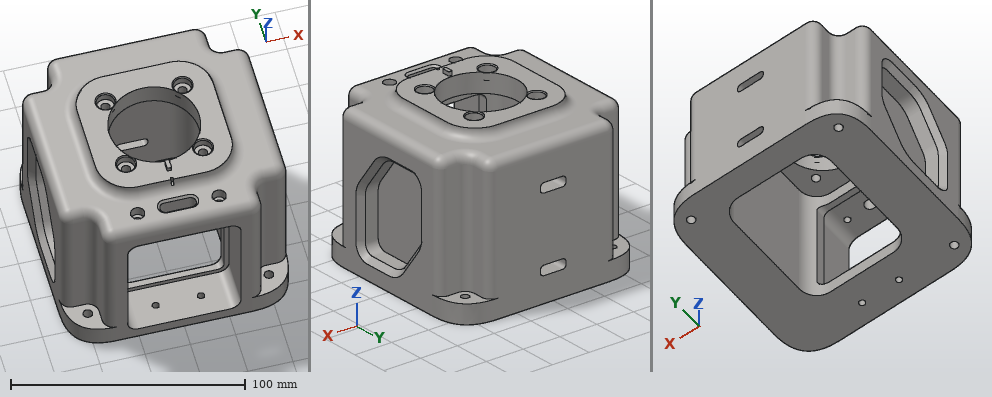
import cadquery as cq
import math

WIDTH = 100.0
HALF_WIDTH = WIDTH / 2
BODY_HEIGHT = 75.0
FOOT_HEIGHT = 10.0
FOOT_CORNER_LENGTH = 20.0
FOOT_CORNER_PULL = 13.9
NOTCH_SIZE = 15.0
EDGE_RADIUS = 5.0
CHAMFER_ANGLE = 45.0

BOSS_WIDTH = 60.0
BOSS_CORNER_RADIUS = 15.0
BOSS_HEIGHT = 5.0
BOSS_TOP = BODY_HEIGHT + BOSS_HEIGHT
BOSS_FLARE_RADIUS = 5.0

BORE_DIAMETER = 39.6
BOLT_OFFSET = 17.0
BOLT_DIAMETER = 4.0
BOLT_HEAD_DIAMETER = 8.0
BOLT_HEAD_DEPTH = 4.0
BOLT_HEAD_CHAMFER = 0.5

CAVITY_WIDTH = 53.0
CAVITY_FRONT = -27.0
CAVITY_BACK = 37.0
CAVITY_TOP = 70.0
CAVITY_RADIUS = 9.5

RECESS_WIDTH = 50.0
RECESS_HEIGHT = 60.0
RECESS_DEPTH = 20.0
RECESS_RADIUS = 5.0
OPENING_CENTER_Z = 35.3
WINDOW_MARGIN = 2.2
WINDOW_RADIUS = RECESS_RADIUS - WINDOW_MARGIN
RECESS_FLOOR = OPENING_CENTER_Z - RECESS_HEIGHT / 2

BACK_SLOT_WIDTH = 14.0
BACK_SLOT_HEIGHT = 5.0
BACK_SLOT_RADIUS = 2.0
BACK_SLOT_SPACING = 39.0

POCKET_CENTER_Z = 35.5
POCKET_WIDTH = 40.0
POCKET_HEIGHT = 50.0
POCKET_CUT_WIDTH = 15.0
POCKET_CUT_HEIGHT = 20.0
POCKET_DEPTH = 10.0
POCKET_SQUARE_RADIUS = 5.0
POCKET_BLUNT_RADIUS = 10.0
POCKET_BEVEL_WIDTH = 2.7
POCKET_BEVEL_DEPTH = 3.0

FOOT_HOLE_OFFSET = 40.0
FOOT_HOLE_DIAMETER = 4.0
BLIND_FOOT_HOLE_DEPTH = 6.0

ACCESS_Y = -40.0
ACCESS_SLOT_Y = -39.5
ACCESS_SLOT_LENGTH = 16.0
ACCESS_SLOT_WIDTH = 5.0
ACCESS_SLOT_CHAMFER = 1.0
SCREW_OFFSET = 18.0
SCREW_DIAMETER = 3.0
SCREW_HEAD_DIAMETER = 6.0
SCREW_HEAD_DEPTH = 5.0
FLOOR_HOLE_OFFSET = 10.0
FLOOR_HOLE_DIAMETER = 3.0

TAB_WIDTH = 2.0
TAB_LENGTH = 4.5
TAB_HEIGHT = 2.0
TAB_Y = -23.0
TAB_CORNER_RADIUS = 0.5
INDEX_NOTCH_WIDTH = 1.0
INDEX_NOTCH_HEIGHT = 3.0
INDEX_NOTCH_DEPTH = 1.0


def block(width, depth, height, x, y, z):
    """Box centred on x and y with its bottom at z."""
    return cq.Workplane("XY").box(width, depth, height, (True, True, False)).translate((x, y, z))


def cylinder(diameter, height, points, z):
    """Upright cylinders standing on height z."""
    return cq.Workplane("XY", origin=(0, 0, z)).pushPoints(points).circle(diameter / 2).extrude(height)


def square_points(offset):
    return [(x, y) for x in (-offset, offset) for y in (-offset, offset)]


def front_block(width, height, radius, y_start, y_end, z):
    """Box along Y, centred on x = 0 and height z, with rounded long edges."""
    length = y_end - y_start
    shape = block(width, length, height, 0, y_start + length / 2, z - height / 2)
    return shape.edges("|Y").fillet(radius)


def make_foot():
    """Square plate whose corners are smooth curves, fuller than a circular arc."""
    start = HALF_WIDTH - FOOT_CORNER_LENGTH
    pull = start + FOOT_CORNER_PULL
    outline = cq.Workplane("XY").moveTo(HALF_WIDTH, -start)
    for quarter in range(4):
        cos = round(math.cos(quarter * math.pi / 2))
        sin = round(math.sin(quarter * math.pi / 2))
        corner = [(HALF_WIDTH, start), (HALF_WIDTH, pull), (pull, HALF_WIDTH), (start, HALF_WIDTH)]
        turned = [(x * cos - y * sin, x * sin + y * cos) for x, y in corner]
        outline = outline.lineTo(*turned[0]).bezier(turned)
    return outline.close().extrude(FOOT_HEIGHT)


def make_body():
    """Block with notched corners, standing on a rounded square foot plate."""
    body = block(WIDTH, WIDTH, BODY_HEIGHT, 0, 0, 0)
    notch_center = HALF_WIDTH - NOTCH_SIZE / 2
    for x, y in square_points(notch_center):
        body = body.cut(block(NOTCH_SIZE, NOTCH_SIZE, BODY_HEIGHT, x, y, 0))
    body = body.edges("|Z").fillet(EDGE_RADIUS)
    body = body.faces(">Z").edges().fillet(EDGE_RADIUS)
    return body.union(make_foot())


def add_boss(body):
    """Rounded square boss whose sides flare out into the top face."""
    spare_height = 1.0
    boss = block(BOSS_WIDTH, BOSS_WIDTH, BOSS_HEIGHT + spare_height, 0, 0, BODY_HEIGHT)
    body = body.union(boss.edges("|Z").fillet(BOSS_CORNER_RADIUS))
    reach = BOSS_WIDTH / 2 + spare_height
    low = BODY_HEIGHT - spare_height / 2
    high = BODY_HEIGHT + spare_height / 2
    boss_base = cq.selectors.BoxSelector((-reach, -reach, low), (reach, reach, high))
    body = body.edges(boss_base).fillet(BOSS_FLARE_RADIUS)
    return body.cut(block(WIDTH, WIDTH, spare_height, 0, 0, BOSS_TOP))


def cut_bore(body):
    """Central bore and four counterbored bolt holes with chamfered mouths."""
    bolts = square_points(BOLT_OFFSET)
    mouth = cq.Workplane("XY", origin=(0, 0, BOSS_TOP)).pushPoints(bolts)
    mouth = mouth.circle(BOLT_HEAD_DIAMETER / 2 + BOLT_HEAD_CHAMFER)
    chamfers = mouth.extrude(-BOLT_HEAD_CHAMFER, taper=CHAMFER_ANGLE)
    wall = BOSS_TOP - CAVITY_TOP
    body = body.cut(cylinder(BORE_DIAMETER, wall, [(0, 0)], CAVITY_TOP))
    body = body.cut(cylinder(BOLT_DIAMETER, wall, bolts, CAVITY_TOP))
    body = body.cut(cylinder(BOLT_HEAD_DIAMETER, BOLT_HEAD_DEPTH, bolts, BOSS_TOP - BOLT_HEAD_DEPTH))
    return body.cut(chamfers)


def cut_cavity(body):
    length = CAVITY_BACK - CAVITY_FRONT
    cavity = block(CAVITY_WIDTH, length, CAVITY_TOP, 0, CAVITY_FRONT + length / 2, 0)
    return body.cut(cavity.edges("|Z").fillet(CAVITY_RADIUS))


def cut_front(body):
    """Front recess and the slightly smaller window from it into the cavity."""
    recess_end = RECESS_DEPTH - HALF_WIDTH
    recess = front_block(
        RECESS_WIDTH, RECESS_HEIGHT, RECESS_RADIUS, -HALF_WIDTH, recess_end, OPENING_CENTER_Z
    )
    window_width = RECESS_WIDTH - 2 * WINDOW_MARGIN
    window_height = RECESS_HEIGHT - 2 * WINDOW_MARGIN
    window = front_block(window_width, window_height, WINDOW_RADIUS, recess_end, 0, OPENING_CENTER_Z)
    return body.cut(recess).cut(window)


def cut_back_slots(body):
    for side in (-1, 1):
        z = OPENING_CENTER_Z + side * BACK_SLOT_SPACING / 2
        slot = front_block(BACK_SLOT_WIDTH, BACK_SLOT_HEIGHT, BACK_SLOT_RADIUS, 0, HALF_WIDTH, z)
        body = body.cut(slot)
    return body


def pocket_section():
    """Rectangle with two opposite corners cut off, rounded at all six corners."""
    y = POCKET_WIDTH / 2
    z = POCKET_HEIGHT / 2
    square_corners = [(y, z), (-y, -z)]
    top_cut = [(POCKET_CUT_WIDTH - y, z), (-y, z - POCKET_CUT_HEIGHT)]
    bottom_cut = [(y - POCKET_CUT_WIDTH, -z), (y, POCKET_CUT_HEIGHT - z)]
    outline = [square_corners[0], *top_cut, square_corners[1], *bottom_cut, square_corners[0]]
    section = cq.Sketch().polygon(outline)
    for corners, radius in (
        (square_corners, POCKET_SQUARE_RADIUS),
        (top_cut + bottom_cut, POCKET_BLUNT_RADIUS),
    ):
        for corner in corners:
            near = cq.selectors.NearestToPointSelector((*corner, 0))
            section = section.reset().vertices(near).fillet(radius)
    return section.reset()


def make_pocket():
    """Left pocket with straight walls and a bevelled mouth."""
    plane = cq.Workplane("YZ", origin=(-HALF_WIDTH, 0, POCKET_CENTER_Z))
    section = pocket_section()
    walls = plane.placeSketch(section).extrude(POCKET_DEPTH)
    bevel_angle = math.degrees(math.atan(POCKET_BEVEL_WIDTH / POCKET_BEVEL_DEPTH))
    mouth_plane = plane.workplane(offset=POCKET_BEVEL_DEPTH)
    mouth = mouth_plane.placeSketch(section).extrude(-POCKET_BEVEL_DEPTH, taper=-bevel_angle)
    return walls.union(mouth)


def cut_pockets(body):
    pocket = make_pocket()
    return body.cut(pocket).cut(pocket.mirror("YZ"))


def cut_foot_holes(body):
    """Through holes in three feet and a blind hole in the front right foot."""
    blind = (FOOT_HOLE_OFFSET, -FOOT_HOLE_OFFSET)
    through = [p for p in square_points(FOOT_HOLE_OFFSET) if p != blind]
    body = body.cut(cylinder(FOOT_HOLE_DIAMETER, FOOT_HEIGHT, through, 0))
    blind_bottom = FOOT_HEIGHT - BLIND_FOOT_HOLE_DEPTH
    return body.cut(cylinder(FOOT_HOLE_DIAMETER, BLIND_FOOT_HOLE_DEPTH, [blind], blind_bottom))


def cut_access(body):
    """Bevelled slot and counterbored screw holes above the recess, plain holes in its floor."""
    roof = BODY_HEIGHT - OPENING_CENTER_Z
    slot = cq.Workplane("XY", origin=(0, ACCESS_SLOT_Y, OPENING_CENTER_Z))
    slot = slot.slot2D(ACCESS_SLOT_LENGTH, ACCESS_SLOT_WIDTH).extrude(roof)
    body = body.cut(slot)
    bevel = cq.Workplane("XY", origin=(0, ACCESS_SLOT_Y, BODY_HEIGHT))
    bevel = bevel.slot2D(
        ACCESS_SLOT_LENGTH + 2 * ACCESS_SLOT_CHAMFER, ACCESS_SLOT_WIDTH + 2 * ACCESS_SLOT_CHAMFER
    ).extrude(-ACCESS_SLOT_CHAMFER, taper=CHAMFER_ANGLE)
    body = body.cut(bevel)
    screws = [(-SCREW_OFFSET, ACCESS_Y), (SCREW_OFFSET, ACCESS_Y)]
    body = body.cut(cylinder(SCREW_DIAMETER, roof, screws, OPENING_CENTER_Z))
    head_bottom = BODY_HEIGHT - SCREW_HEAD_DEPTH
    body = body.cut(cylinder(SCREW_HEAD_DIAMETER, SCREW_HEAD_DEPTH, screws, head_bottom))
    floor_holes = [(-FLOOR_HOLE_OFFSET, ACCESS_Y), (FLOOR_HOLE_OFFSET, ACCESS_Y)]
    return body.cut(cylinder(FLOOR_HOLE_DIAMETER, RECESS_FLOOR, floor_holes, 0))


def add_index_marks(body):
    tab = block(TAB_WIDTH, TAB_LENGTH, TAB_HEIGHT, 0, TAB_Y, BOSS_TOP)
    tab = tab.edges("|Z").fillet(TAB_CORNER_RADIUS)
    notch_length = INDEX_NOTCH_DEPTH + BOSS_FLARE_RADIUS
    notch_y = INDEX_NOTCH_DEPTH - BOSS_WIDTH / 2 - notch_length / 2
    notch_z = BOSS_TOP - INDEX_NOTCH_HEIGHT
    notch = block(INDEX_NOTCH_WIDTH, notch_length, INDEX_NOTCH_HEIGHT, 0, notch_y, notch_z)
    return body.union(tab).cut(notch)


result = make_body()
result = add_boss(result)
result = cut_cavity(result)
result = cut_bore(result)
result = cut_front(result)
result = cut_back_slots(result)
result = cut_pockets(result)
result = cut_foot_holes(result)
result = cut_access(result)
result = add_index_marks(result)